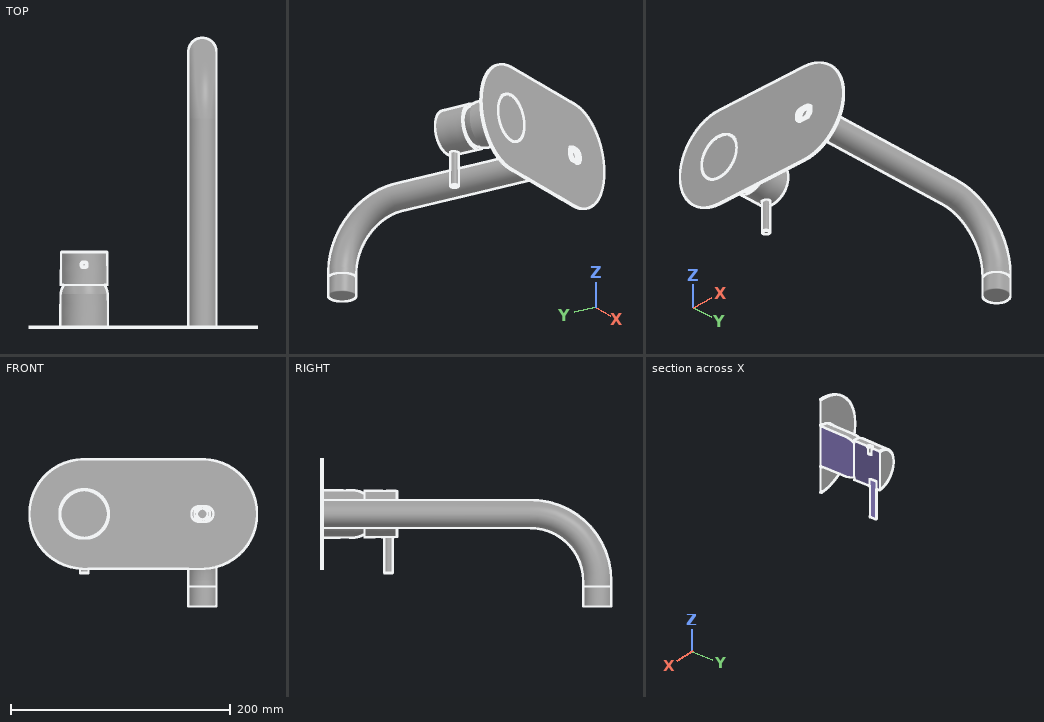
import cadquery as cq


total_reach = 265.0
plate_length = 208.0
total_height = 134.5

plate_height = 100.2
plate_thickness = 1.5
end_radius = plate_height / 2
center_offset = (plate_length - plate_height) / 2
mixer_x = -center_offset
spout_x = center_offset

tube_radius = 13.0
bend_radius = 61.0
tube_drop = 66.2
stub_diameter = 14.3
stub_bore = 9.8
bore_depth = 2.0
slot_length = 20.1
drop_y = total_reach - tube_radius
bend_start_y = drop_y - bend_radius

outlet_length = total_height - end_radius - tube_drop
outlet_edge = 1.0

sleeve_foot_radius = 22.0
sleeve_top_radius = 21.7
sleeve_top_y = 29.5
band_width = 1.3
shoulder_mid_radius = 20.7
shoulder_mid_y = 35.5
neck_radius = 18.8
mixer_hole_radius = 22.5
band_top_y = sleeve_top_y + band_width

handle_start_y = 39.5
handle_end_y = 69.7
handle_foot_radius = 21.5
handle_top_radius = 21.2
handle_chamfer = 0.8

lever_y = 61.5
lever_diameter = 8.0
lever_tip_z = -54.3
lever_root_z = -13.2
lever_chamfer = 0.8

screw_y = 57.8
screw_mouth_diameter = 6.4
screw_hole_diameter = 3.7
screw_mouth_floor_z = 20.0
screw_hole_floor_z = 13.2


def y_cylinder(x, start_y, end_y, diameter):
    """Cylinder along Y, centred at the given x and z = 0."""
    return (
        cq.Workplane("XZ", origin=(x, start_y, 0))
        .circle(diameter / 2)
        .extrude(start_y - end_y)
    )


def z_cylinder(y, bottom_z, top_z, diameter):
    """Cylinder along Z on the mixer centre plane."""
    return (
        cq.Workplane("XY", origin=(mixer_x, y, bottom_z))
        .circle(diameter / 2)
        .extrude(top_z - bottom_z)
    )


def revolve_about_mixer_axis(profile):
    """Turn a closed (radius, y) profile around the mixer axis."""
    return profile.revolve(360, (0, 0, 0), (0, 1, 0)).translate((mixer_x, 0, 0))


def make_mixer_body():
    profile = (
        cq.Workplane("XY")
        .lineTo(sleeve_foot_radius, 0)
        .lineTo(sleeve_top_radius, sleeve_top_y)
        .lineTo(sleeve_top_radius, band_top_y)
        .threePointArc((shoulder_mid_radius, shoulder_mid_y), (neck_radius, handle_start_y))
        .lineTo(0, handle_start_y)
        .close()
    )
    return revolve_about_mixer_axis(profile)


def make_lever():
    lever = z_cylinder(lever_y, lever_tip_z, lever_root_z, lever_diameter)
    return lever.faces("<Z").chamfer(lever_chamfer)


def make_handle(lever):
    profile = (
        cq.Workplane("XY")
        .moveTo(0, handle_start_y)
        .lineTo(handle_foot_radius, handle_start_y)
        .lineTo(handle_top_radius, handle_end_y)
        .lineTo(0, handle_end_y)
        .close()
    )
    handle = revolve_about_mixer_axis(profile).faces(">Y").chamfer(handle_chamfer)
    screw_mouth = z_cylinder(screw_y, screw_mouth_floor_z, handle_foot_radius, screw_mouth_diameter)
    screw_hole = z_cylinder(screw_y, screw_hole_floor_z, handle_foot_radius, screw_hole_diameter)
    return handle.cut(screw_mouth).cut(screw_hole).cut(lever)


def make_plate():
    plate = (
        cq.Workplane("XZ")
        .slot2D(plate_length, plate_height)
        .extrude(-plate_thickness)
    )
    stub_slot = (
        cq.Workplane("XZ", origin=(spout_x, 0, 0))
        .slot2D(slot_length, stub_diameter)
        .extrude(-plate_thickness)
    )
    mixer_hole = y_cylinder(mixer_x, 0, plate_thickness, 2 * mixer_hole_radius)
    return plate.cut(stub_slot).cut(mixer_hole)


def make_spout():
    path = (
        cq.Workplane("YZ", origin=(spout_x, 0, 0))
        .moveTo(plate_thickness, 0)
        .lineTo(bend_start_y, 0)
        .radiusArc((drop_y, -bend_radius), bend_radius)
        .lineTo(drop_y, -tube_drop)
    )
    tube = (
        cq.Workplane("XZ", origin=(spout_x, plate_thickness, 0))
        .circle(tube_radius)
        .sweep(path)
    )
    stub = y_cylinder(spout_x, 0, plate_thickness, stub_diameter)
    bore = y_cylinder(spout_x, 0, bore_depth, stub_bore)
    return tube.union(stub).cut(bore)


def make_outlet():
    outlet = (
        cq.Workplane("XY", origin=(spout_x, drop_y, -tube_drop))
        .circle(tube_radius)
        .extrude(-outlet_length)
    )
    return outlet.faces("<Z").edges().fillet(outlet_edge)


mixer_body = make_mixer_body()
lever = make_lever()
handle = make_handle(lever)
plate = make_plate()
spout = make_spout()
outlet = make_outlet()

result = cq.Compound.makeCompound([
    plate.val(),
    mixer_body.val(),
    handle.val(),
    lever.val(),
    spout.val(),
    outlet.val(),
])